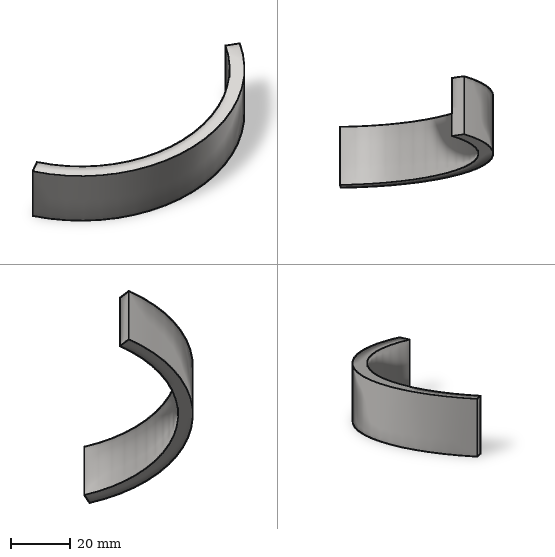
import cadquery as cq
import math

outer_radius = 55.0
wall_thickness = 5.0
height = 20.0
back_angle = 57.9
front_angle = 63.1

inner_radius = outer_radius - wall_thickness


def ring_point(radius, angle):
    """Point at a radius and an angle in degrees from +X."""
    turn = math.radians(angle)
    return (radius * math.cos(turn), radius * math.sin(turn))


middle_angle = (back_angle - front_angle) / 2

result = (
    cq.Workplane("XY")
    .moveTo(*ring_point(outer_radius, -front_angle))
    .threePointArc(
        ring_point(outer_radius, middle_angle),
        ring_point(outer_radius, back_angle),
    )
    .lineTo(*ring_point(inner_radius, back_angle))
    .threePointArc(
        ring_point(inner_radius, middle_angle),
        ring_point(inner_radius, -front_angle),
    )
    .close()
    .extrude(height)
)